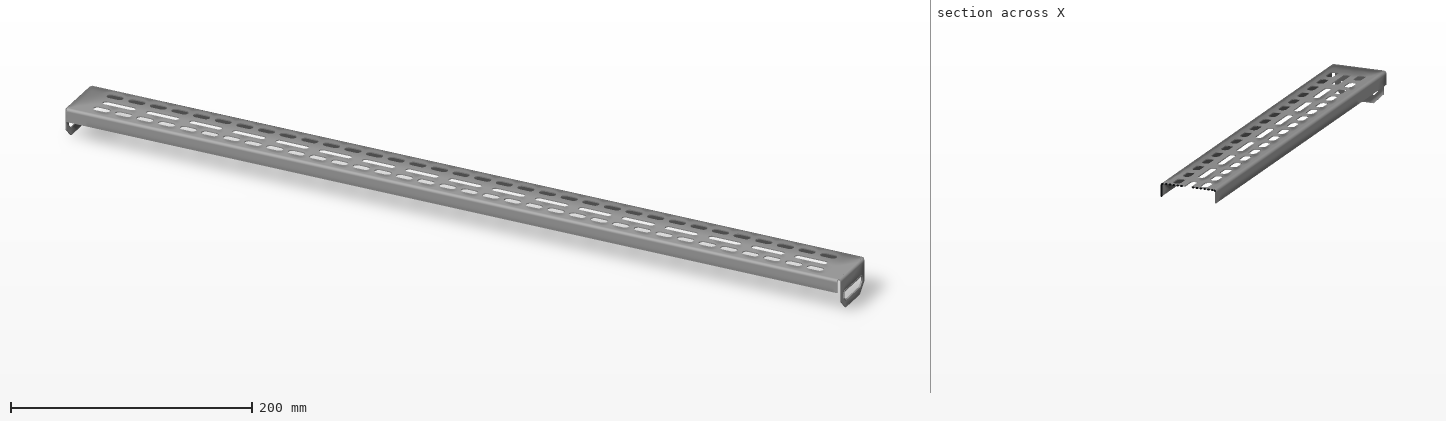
import cadquery as cq
import math

overall_length = 718.0
cover_width = 50.0
overall_height = 30.0

sheet = 1.0
bend_radius = 2.5
inner_bend_radius = bend_radius - sheet

skirt_height = 12.0
end_plate_width = 44.0
end_plate_chamfer = 9.0
corner_notch = 2.2

handle_slot_length = 34.0
handle_slot_height = 9.0
handle_slot_z = 11.5
handle_upper_radius = 2.0
handle_chamfer = 4.0
collar_wall = 1.0
collar_projection = 0.5

outer_slot_count = 34
outer_slot_pitch = 20.0
outer_slot_length = 15.0
outer_slot_width = 7.0
middle_slot_count = 17
middle_slot_pitch = 2 * outer_slot_pitch
middle_slot_length = 30.0
middle_slot_width = 6.0
drain_row_spacing = 12.5

channel_length = overall_length - collar_projection
left_end = -overall_length / 2
right_end = left_end + channel_length
channel_center = (left_end + right_end) / 2
chamfer_growth = 2 - math.sqrt(2)


def side_skirts():
    """Top folded down along both long sides, stopping short of the end bends."""
    skirt_length = channel_length - 2 * corner_notch

    def bent_block(width, top, radius):
        block = cq.Workplane("XY").box(skirt_length, width, skirt_height, centered=(True, True, False))
        block = block.edges("|X and >Z").fillet(radius)
        return block.translate((channel_center, 0, top - skirt_height))

    outside = bent_block(cover_width, overall_height, bend_radius)
    inside = bent_block(cover_width - 2 * sheet, overall_height - sheet, inner_bend_radius)
    return outside.cut(inside)


def end_plates():
    """Top strip folded down into a plate with chamfered lower corners at each end."""

    def bent_block(length, top, radius):
        block = cq.Workplane("XY").box(length, end_plate_width, top, centered=(True, True, False))
        block = block.edges("|Y and >Z").fillet(radius)
        return block.translate((channel_center, 0, 0))

    outside = bent_block(channel_length, overall_height, bend_radius)
    outside = outside.edges("|X and <Z").chamfer(end_plate_chamfer)
    inside = bent_block(channel_length - 2 * sheet, overall_height - sheet, inner_bend_radius)
    return outside.cut(inside)


def handle_prism(start_x, length, margin=0.0):
    """Prism along +X shaped like the handle slot, grown by the margin all round."""
    prism = cq.Workplane("XY").box(
        length,
        handle_slot_length + 2 * margin,
        handle_slot_height + 2 * margin,
        centered=(False, True, True),
    )
    prism = prism.edges("|X and >Z").fillet(handle_upper_radius + margin)
    prism = prism.edges("|X and <Z").chamfer(handle_chamfer + margin * chamfer_growth)
    return prism.translate((start_x, 0, handle_slot_z))


def drain_slot_row(count, pitch, slot_length, slot_width, row_y):
    """Row of round-ended through slots in the top."""
    return (
        cq.Workplane("XY", origin=(0, row_y, overall_height - sheet))
        .rarray(pitch, 1, count, 1)
        .slot2D(slot_length, slot_width)
        .extrude(sheet)
    )


def drain_slots():
    """One row of short slots along each side and a row of long slots down the middle."""
    slots = drain_slot_row(
        middle_slot_count, middle_slot_pitch, middle_slot_length, middle_slot_width, 0
    )
    for row_y in (-drain_row_spacing, drain_row_spacing):
        slots = slots.add(
            drain_slot_row(
                outer_slot_count, outer_slot_pitch, outer_slot_length, outer_slot_width, row_y
            )
        )
    return slots.combine()


collar = handle_prism(right_end - sheet, sheet + collar_projection, collar_wall)
handle_slots = handle_prism(left_end, overall_length)
result = side_skirts().union(end_plates()).union(collar)
result = result.cut(handle_slots).cut(drain_slots())